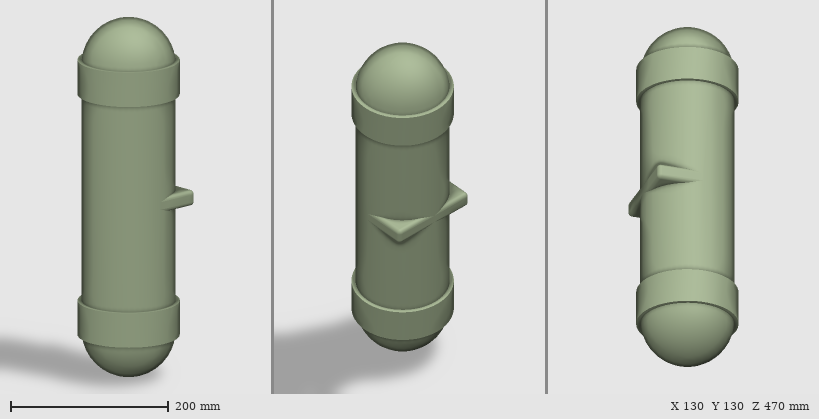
import cadquery as cq

total_length = 470.0
body_diameter = 120.0
body_radius = body_diameter / 2

collar_diameter = 130.0
collar_height = 45.0
collar_outer_end = 181.0

tab_thickness = 20.0
tab_fillet = 5.0

tube_half_length = total_length / 2 - body_radius


def make_body():
    """Solid tube with a hemisphere on each end, centred on the origin."""
    body = cq.Workplane("XY").circle(body_radius).extrude(tube_half_length, both=True)
    for end in (-1, 1):
        dome = cq.Workplane("XY").sphere(body_radius)
        body = body.union(dome.translate((0, 0, end * tube_half_length)))
    return body


def make_collar(bottom):
    """Plain ring of material starting at the given height."""
    return cq.Workplane("XY", origin=(0, 0, bottom)).circle(collar_diameter / 2).extrude(collar_height)


def make_tab():
    """Flat plate from the tube axis to its back, rounded on all exposed edges."""
    plate = cq.Workplane("XY").box(
        body_diameter, body_radius, tab_thickness, centered=(True, False, True)
    )
    side_and_back_edges = plate.edges("not(<Y)")
    return side_and_back_edges.fillet(tab_fillet)


result = make_body()
for collar_bottom in (collar_outer_end - collar_height, -collar_outer_end):
    result = result.union(make_collar(collar_bottom))
result = result.union(make_tab())